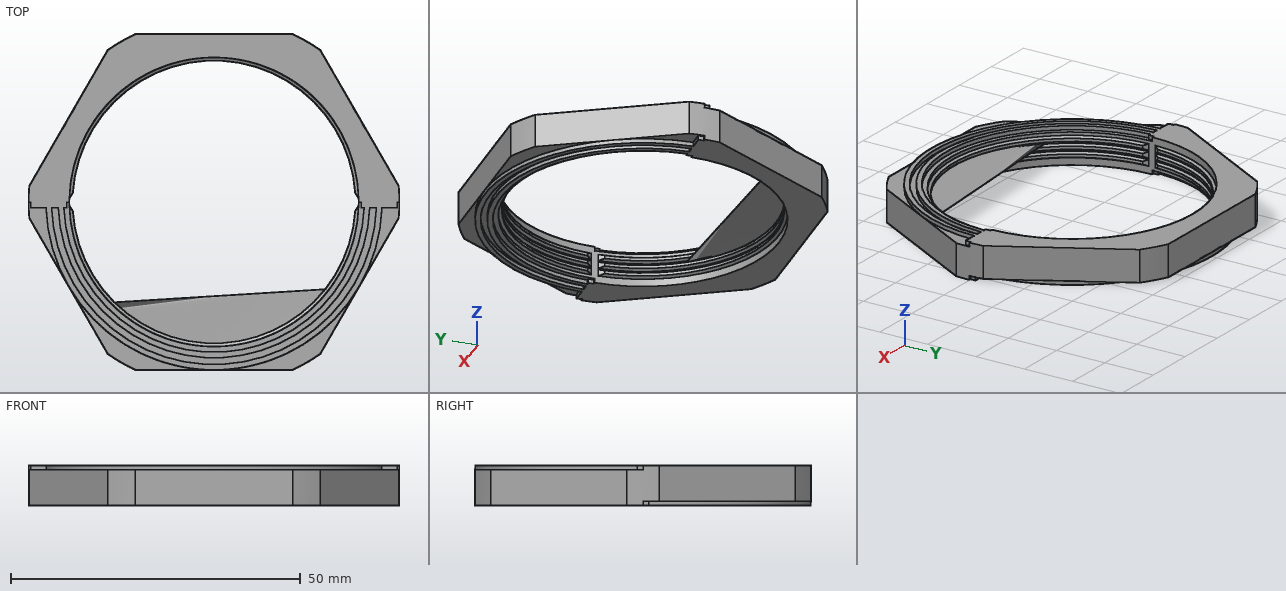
import cadquery as cq
import math

corner_radius = 32.0
flat_distance = 58.0
height = 7.0

bore_radius = 24.95
crest_radius = 24.4
thread_pitch = 1.5
ridge_count = 3
crest_width = 0.6
flank_angle = 30.0
root_overlap = 0.1
ridge_depth = bore_radius - crest_radius
flank_height = ridge_depth * math.tan(math.radians(flank_angle))

gap_half_width = 0.65
gap_mouth_half_width = 1.65
gap_mouth_inset = 0.1

step_depth = 0.8
rib_width = 0.95
rib_outer_radii = (flat_distance / 2, 26.9)

tongue_reach = 1.0
tongue_inner = 25.4
tongue_outer = 31.6


def ring(outer, inner, bottom, thickness):
    return cq.Workplane("XY").workplane(offset=bottom).circle(outer).circle(inner).extrude(thickness)


def nut_blank():
    hexagon_diameter = flat_distance / math.cos(math.pi / 6)
    hexagon = cq.Workplane("XY").polygon(6, hexagon_diameter).extrude(height / 2, both=True)
    corner_limit = cq.Workplane("XY").circle(corner_radius).extrude(height / 2, both=True)
    bore = cq.Workplane("XY").circle(bore_radius).extrude(height / 2, both=True)
    return hexagon.intersect(corner_limit).cut(bore)


def step_cutter():
    """Material removed from the -Y half of the top face, leaving ribs and tongues."""
    floor = height / 2 - step_depth
    half_plate = cq.Workplane("XY").box(
        2 * corner_radius, corner_radius, step_depth, centered=(True, False, False)
    )
    cutter = half_plate.translate((0, -corner_radius, floor))
    for outer in rib_outer_radii:
        cutter = cutter.cut(ring(outer, outer - rib_width, floor, step_depth))
    tongue_length = tongue_outer - tongue_inner
    tongue_middle = (tongue_outer + tongue_inner) / 2
    for side in (-1, 1):
        tongue = cq.Workplane("XY").box(
            tongue_length, 2 * tongue_reach, step_depth, centered=(True, True, False)
        )
        cutter = cutter.cut(tongue.translate((side * tongue_middle, 0, floor)))
    return cutter


def thread_ridge(middle):
    """Trapezoidal ring around the bore, rooted slightly inside the wall."""
    root_radius = bore_radius + root_overlap
    crest_half = crest_width / 2
    root_half = crest_half + flank_height
    return (
        cq.Workplane("XZ")
        .moveTo(crest_radius, middle - crest_half)
        .lineTo(bore_radius, middle - root_half)
        .lineTo(root_radius, middle - root_half)
        .lineTo(root_radius, middle + root_half)
        .lineTo(bore_radius, middle + root_half)
        .lineTo(crest_radius, middle + crest_half)
        .close()
        .revolve(360, (0, 0, 0), (0, 1, 0))
    )


def ridge_gap(side):
    """Straight slot with flared sides that interrupts the ridges near the X axis."""
    mouth_x = crest_radius - gap_mouth_inset
    return (
        cq.Workplane("XY")
        .moveTo(side * mouth_x, gap_mouth_half_width)
        .lineTo(side * bore_radius, gap_half_width)
        .lineTo(side * corner_radius, gap_half_width)
        .lineTo(side * corner_radius, -gap_half_width)
        .lineTo(side * bore_radius, -gap_half_width)
        .lineTo(side * mouth_x, -gap_mouth_half_width)
        .close()
        .extrude(height / 2, both=True)
    )


top_step = step_cutter()
bottom_step = top_step.rotate((0, 0, 0), (1, 0, 0), 180)
result = nut_blank().cut(top_step).cut(bottom_step)

for index in range(ridge_count):
    middle = (index - (ridge_count - 1) / 2) * thread_pitch
    ridge = thread_ridge(middle)
    for side in (-1, 1):
        ridge = ridge.cut(ridge_gap(side))
    result = result.union(ridge)